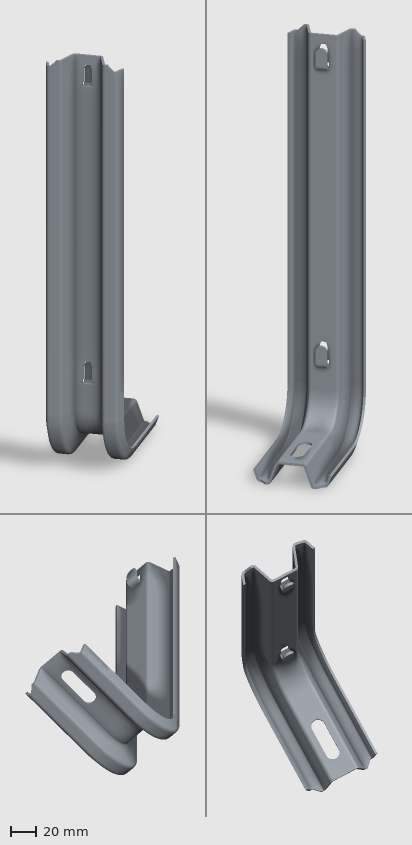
import cadquery as cq
import math

height = 345.0
foot_reach = 120.0
half_width = 64.0 / 2
section_depth = 20.0
sheet = 2.0
bend_radius = 45.0

wall_slant = math.radians(20)
web_half_width = 21.0 / 2
lip_height = 9.5
inner_fold = 1.0
outer_fold = inner_fold + sheet

notch_half_width = 20.7
notch_depth = 5.2

slot_length = 35.2
slot_width = 11.0
slot_end_gap = 15.0

hook_floors = [height - 26.5, height - 277.0]
hook_width = 9.3
hook_rise = 17.0
hook_reach = 6.5
hook_inner_radius = 1.7
window_rise = 18.5
window_width = 7.2
window_base_height = 3.5
window_top_width = 4.5
window_taper_height = 4.5


def rounded_outline(corners):
    """Closed wire through (x, y, radius) corners; a radius above zero rounds its corner."""
    outline = []
    count = len(corners)
    for i, (x, y, radius) in enumerate(corners):
        corner = cq.Vector(x, y)
        if radius == 0:
            outline.append([corner])
            continue
        before = (cq.Vector(*corners[i - 1][:2]) - corner).normalized()
        after = (cq.Vector(*corners[(i + 1) % count][:2]) - corner).normalized()
        half_angle = before.getAngle(after) / 2
        tangent = radius / math.tan(half_angle)
        middle_gap = radius / math.sin(half_angle) - radius
        middle = corner + (before + after).normalized() * middle_gap
        outline.append([corner + before * tangent, middle, corner + after * tangent])

    wire = cq.Workplane("XY").moveTo(*outline[0][-1].toTuple()[:2])
    for stretch in outline[1:] + outline[:1]:
        wire = wire.lineTo(stretch[0].x, stretch[0].y)
        if len(stretch) == 3:
            wire = wire.threePointArc(stretch[1].toTuple()[:2], stretch[2].toTuple()[:2])
    return wire.close()


def hat_section():
    """Section in X and depth; depth 0 is the flange face and section_depth the back of the web."""
    lean = math.tan(wall_slant)
    slanted_sheet = sheet / math.cos(wall_slant)
    web_inside = section_depth - sheet

    def wall_inside(depth):
        return web_half_width + (web_inside - depth) * lean

    def wall_outside(depth):
        return wall_inside(depth) + slanted_sheet

    def lip_outside(depth):
        return half_width - (lip_height - depth) * lean

    lip_inner_tip = (half_width - sheet * math.cos(wall_slant), lip_height + sheet * math.sin(wall_slant))

    right_side = [
        (web_half_width, web_inside, inner_fold),
        (wall_inside(0), 0, outer_fold),
        (lip_outside(0), 0, outer_fold),
        (half_width, lip_height, 0),
        (*lip_inner_tip, 0),
        (lip_outside(sheet) - slanted_sheet, sheet, inner_fold),
        (wall_outside(sheet), sheet, inner_fold),
        (wall_outside(section_depth), section_depth, outer_fold),
    ]
    left_side = [(-x, depth, radius) for x, depth, radius in reversed(right_side)]
    return rounded_outline(right_side + left_side)


def bent_channel():
    arc_drop = bend_radius * (1 - math.sqrt(0.5))
    path = (
        cq.Workplane("YZ")
        .moveTo(0, 0)
        .lineTo(0, bend_radius - height)
        .threePointArc((arc_drop, arc_drop - height), (bend_radius, -height))
        .lineTo(foot_reach, -height)
    )
    return hat_section().sweep(path).translate((0, 0, height))


def end_notch(plane, end, side):
    """Cutter for one channel end: square across the lip with a 45 degree inner edge."""
    outer_x = 2 * half_width
    corners = [
        (notch_half_width, end),
        (notch_half_width + notch_depth, end - notch_depth),
        (outer_x, end - notch_depth),
        (outer_x, end),
    ]
    cutter = cq.Workplane(plane).polyline([(side * x, y) for x, y in corners]).close()
    return cutter.extrude(section_depth if plane == "XY" else -section_depth)


def foot_slot():
    center_y = foot_reach - slot_end_gap - slot_length / 2
    return cq.Workplane("XY").center(0, center_y).slot2D(slot_length, slot_width, 90).extrude(section_depth)


def window(floor):
    """Cutter for the opening: wide base, straight body and a top tapering to a narrower flat end."""
    base_top = floor + window_base_height
    top = floor + window_rise
    right_side = [
        (hook_width / 2, floor),
        (hook_width / 2, base_top),
        (window_width / 2, base_top),
        (window_width / 2, top - window_taper_height),
        (window_top_width / 2, top),
    ]
    left_side = [(-x, z) for x, z in reversed(right_side)]
    return cq.Workplane("XZ").polyline(right_side + left_side).close().extrude(-section_depth)


def hook(floor):
    """Arm reaching back from the web, bent upward into a round-tipped tongue."""
    root = section_depth - sheet / 2
    back = section_depth + hook_reach
    bottom = floor - sheet
    tip = floor + hook_rise
    side_shape = rounded_outline([
        (root, bottom, 0),
        (back, bottom, hook_inner_radius + sheet),
        (back, tip, 0),
        (back - sheet, tip, 0),
        (back - sheet, floor, hook_inner_radius),
        (root, floor, 0),
    ])
    bar = (
        side_shape.extrude(hook_width / 2, both=True)
        .rotate((0, 0, 0), (1, 1, 1), 120)
    )
    shoulder = tip - hook_width / 2
    tongue_outline = (
        cq.Workplane("XZ")
        .moveTo(-hook_width / 2, bottom)
        .lineTo(-hook_width / 2, shoulder)
        .threePointArc((0, tip), (hook_width / 2, shoulder))
        .lineTo(hook_width / 2, bottom)
        .close()
        .extrude(-back)
    )
    return bar.intersect(tongue_outline)


result = bent_channel().cut(foot_slot())
for side in (-1, 1):
    result = result.cut(end_notch("XZ", height, side))
    result = result.cut(end_notch("XY", foot_reach, side))
for floor in hook_floors:
    result = result.cut(window(floor)).union(hook(floor))